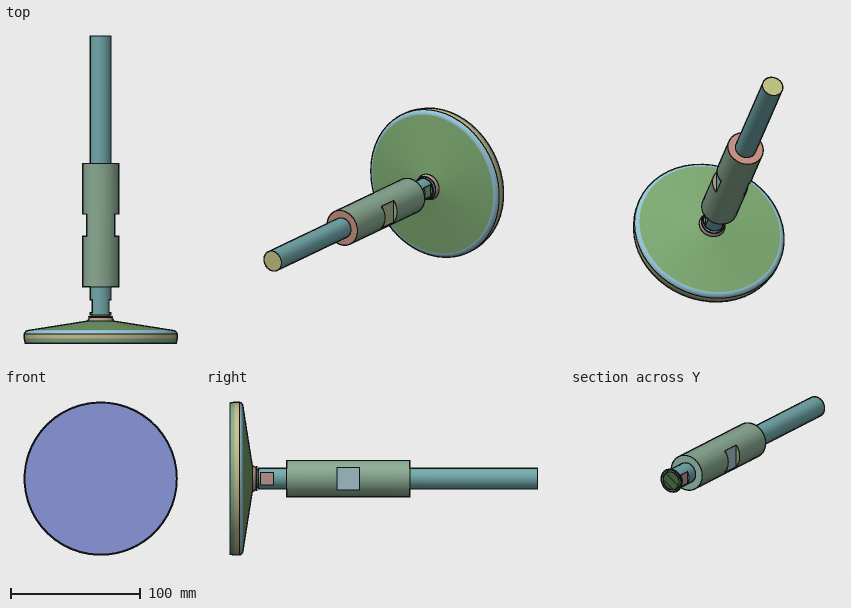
import cadquery as cq
import math

overall_length = 237.0
underside_y = -overall_length / 2

base_radius = 118.0 / 2
underside_radius = base_radius - 0.7
pad_height = 3.5
rim_height = 7.3
cone_edge_radius = 55.5
cone_edge_height = 10.2
cone_top_radius = 10.2
cone_top_height = 17.3
collar_waist_radius = 8.5
collar_waist_height = 20.1
collar_lip_radius = 9.2
collar_lip_height = 20.6
collar_height = 20.9
rim_bulge = 0.7

spindle_radius = 16.0 / 2
neck_radius = 6.9
neck_bottom = 14.2
spindle_bottom = 22.0
spindle_flat_start = 23.7
spindle_flat_length = 10.0
spindle_flat_width = 13.0

sleeve_radius = 28.0 / 2
sleeve_bottom = 43.5
sleeve_length = 95.0
sleeve_flat_length = 17.0
sleeve_flat_width = 21.8


def cylinder(radius, bottom, length):
    """Cylinder along +Y starting at a height above the underside."""
    origin = (0, underside_y + bottom, 0)
    return cq.Workplane("XZ", origin=origin).circle(radius).extrude(-length)


def cut_flats(body, radius, flat_width, bottom, length):
    """Cut a pair of opposite wrench flats facing -X and +X."""
    depth = radius - flat_width / 2
    for side in (-1, 1):
        notch = cq.Workplane("XY").box(2 * depth, length, 2 * radius)
        notch_x = side * (flat_width / 2 + depth)
        notch_y = underside_y + bottom + length / 2
        body = body.cut(notch.translate((notch_x, notch_y, 0)))
    return body


def make_base():
    """Domed disc with a waisted collar and a blind socket for the neck."""
    shoulder_drop = cone_edge_height - rim_height
    shoulder_run = base_radius - cone_edge_radius
    shoulder_chord = math.hypot(shoulder_run, shoulder_drop)
    shoulder_middle = (
        (base_radius + cone_edge_radius) / 2 + rim_bulge * shoulder_drop / shoulder_chord,
        (rim_height + cone_edge_height) / 2 + rim_bulge * shoulder_run / shoulder_chord,
    )
    profile = (
        cq.Workplane("XY")
        .lineTo(underside_radius, 0)
        .lineTo(base_radius, pad_height)
        .lineTo(base_radius, rim_height)
        .threePointArc(shoulder_middle, (cone_edge_radius, cone_edge_height))
        .lineTo(cone_top_radius, cone_top_height)
        .lineTo(collar_waist_radius, collar_waist_height)
        .lineTo(collar_lip_radius, collar_lip_height)
        .lineTo(collar_lip_radius, collar_height)
        .lineTo(0, collar_height)
        .close()
    )
    disc = profile.revolve(360, (0, 0, 0), (0, 1, 0)).translate((0, underside_y, 0))
    socket = cylinder(neck_radius, neck_bottom, collar_height - neck_bottom)
    return disc.cut(socket)


def make_spindle():
    """Long rod with wrench flats and a reduced neck at the base end."""
    rod = cylinder(spindle_radius, spindle_bottom, overall_length - spindle_bottom)
    rod = cut_flats(rod, spindle_radius, spindle_flat_width, spindle_flat_start, spindle_flat_length)
    return rod.union(cylinder(neck_radius, neck_bottom, spindle_bottom - neck_bottom))


def make_sleeve():
    """Tube around the spindle with wrench flats at mid length."""
    tube = cylinder(sleeve_radius, sleeve_bottom, sleeve_length)
    tube = tube.cut(cylinder(spindle_radius, sleeve_bottom, sleeve_length))
    flat_start = sleeve_bottom + (sleeve_length - sleeve_flat_length) / 2
    return cut_flats(tube, sleeve_radius, sleeve_flat_width, flat_start, sleeve_flat_length)


base = make_base()
spindle = make_spindle()
sleeve = make_sleeve()

result = cq.Compound.makeCompound([*base.solids().vals(), *spindle.solids().vals(), *sleeve.solids().vals()])